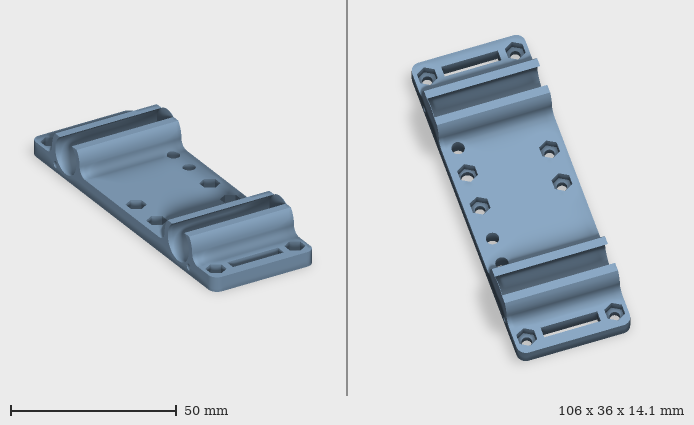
import cadquery as cq

LENGTH = 106.0
WIDTH = 36.0
PLATE_THICKNESS = 5.0
CORNER_RADIUS = 3.0

OVERALL_HEIGHT = 14.1
CRADLE_X = 32.5
CRADLE_TOP = 13.0
BORE_DIAMETER = 12.2
BORE_Z = OVERALL_HEIGHT - BORE_DIAMETER / 2
CRADLE_RADIUS = BORE_Z
ROOT_FILLET = BORE_Z - PLATE_THICKNESS
END_WALL = 0.1

SIDE_HOLE_DIAMETER = 2.2
SIDE_HOLE_X = CRADLE_X + 5.9
SIDE_HOLE_Z = PLATE_THICKNESS / 2

SCREW_DIAMETER = 3.2
WIDE_DIAMETER = 4.0
NUT_ACROSS_CORNERS = 6.5
NUT_DEPTH = 3.0
END_HOLE_X = 47.7
END_HOLE_Y = 14.0
INNER_HOLE_X = 12.0
OUTER_HOLE_X = 21.0
ROW_Y = 13.0

SLOT_WIDTH = 3.5
SLOT_LENGTH = 18.0

SIDES = (-1, 1)


def along_y(x, z, diameter, length=WIDTH):
    """Cylinder parallel to Y that starts at the -Y face."""
    start = cq.Workplane("XZ", origin=(x, -WIDTH / 2, z))
    return start.circle(diameter / 2).extrude(-length)


def block(x, bottom, size_x, size_y, height):
    """Box centred on (x, 0) that stands on the height `bottom`."""
    base = cq.Workplane("XY", origin=(x, 0, bottom))
    return base.rect(size_x, size_y).extrude(height)


def make_plate():
    """Flat plate with rounded vertical corners."""
    plate = block(0, 0, LENGTH, WIDTH, PLATE_THICKNESS)
    return plate.edges("|Z").fillet(CORNER_RADIUS)


def make_ridge(x):
    """Round ridge with a flat top, blended into the plate by concave root fillets."""
    fillet_offset = CRADLE_RADIUS + ROOT_FILLET
    foot = block(x, 0, 2 * fillet_offset, WIDTH, BORE_Z)
    for side in SIDES:
        foot = foot.cut(along_y(x + side * fillet_offset, BORE_Z, 2 * ROOT_FILLET))
    ridge = along_y(x, BORE_Z, 2 * CRADLE_RADIUS).union(foot)
    above_top = block(x, CRADLE_TOP, 2 * CRADLE_RADIUS, WIDTH, CRADLE_RADIUS)
    return ridge.cut(above_top)


def vertical_hole(x, y, diameter):
    """Round cutter through the whole height."""
    return cq.Workplane("XY", origin=(x, y, 0)).circle(diameter / 2).extrude(OVERALL_HEIGHT)


def nut_pocket(x, y):
    """Hexagonal cutter sunk from the top of the plate, corners pointing along X."""
    floor = cq.Workplane("XY", origin=(x, y, PLATE_THICKNESS - NUT_DEPTH))
    return floor.polygon(6, NUT_ACROSS_CORNERS).extrude(NUT_DEPTH)


result = make_plate()

for side in SIDES:
    cradle_x = side * CRADLE_X
    end_disc = along_y(cradle_x, BORE_Z, BORE_DIAMETER)
    groove = along_y(cradle_x, BORE_Z, BORE_DIAMETER, WIDTH - END_WALL)
    result = result.union(make_ridge(cradle_x)).union(end_disc).cut(groove)

for side in SIDES:
    side_hole = along_y(side * SIDE_HOLE_X, SIDE_HOLE_Z, SIDE_HOLE_DIAMETER)
    slot = block(side * END_HOLE_X, 0, SLOT_WIDTH, SLOT_LENGTH, PLATE_THICKNESS)
    result = result.cut(side_hole).cut(slot)

nut_holes = [(sx * END_HOLE_X, sy * END_HOLE_Y, SCREW_DIAMETER) for sx in SIDES for sy in SIDES]
nut_holes += [
    (0, -ROW_Y, SCREW_DIAMETER),
    (0, ROW_Y, SCREW_DIAMETER),
    (INNER_HOLE_X, -ROW_Y, SCREW_DIAMETER),
    (INNER_HOLE_X, ROW_Y, WIDE_DIAMETER),
]
for x, y, diameter in nut_holes:
    result = result.cut(vertical_hole(x, y, diameter)).cut(nut_pocket(x, y))

for x in (-OUTER_HOLE_X, -INNER_HOLE_X, OUTER_HOLE_X):
    result = result.cut(vertical_hole(x, ROW_Y, WIDE_DIAMETER))